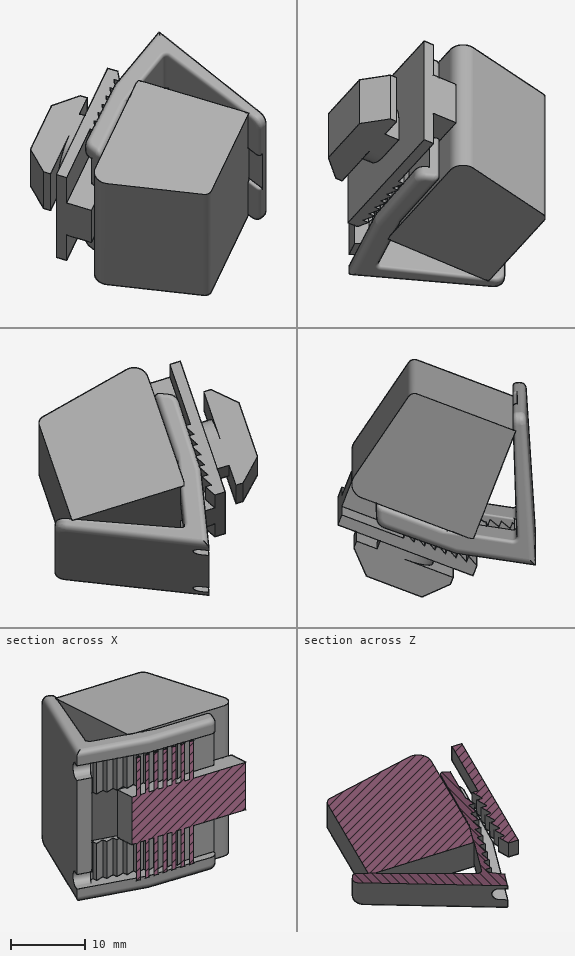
import cadquery as cq
import math


body_height = 22.0

head_depth = 4.03
head_land = 1.0
head_length = 13.93
head_face_length = 8.0
neck_depth = 2.15
plate_thickness = 1.48
web_depth = 3.55
block_depth = 16.0

plate_top = 8.98
plate_bottom = -10.5
plate_width = 18.02
web_width = 7.0

block_top = 7.05
block_front_bottom = -11.53
block_back_bottom = -7.95
block_front_radius = 2.0
block_back_radius = 0.98

plate_front = head_depth + neck_depth
plate_back = plate_front + plate_thickness
block_front = plate_back + web_depth
block_back = block_front + block_depth

tooth_pitch = 1.5
tooth_height = 0.83
rail_tooth_count = 7
lever_tooth_count = 9

apex = (10.85, 16.2)
outer_knee = (8.5, 5.57)
lip_corner = (8.3, -5.65)
lip_end = (11.15, -6.95)
inner_knee = (block_front, 4.0)
inner_corner = (13.1, 12.65)
tip_inner = (29.17, 5.87)
tip_outer = (29.9, 7.47)

lip_corner_radius = 1.5
tip_corner_radius = 1.5
outer_edge_radius = 0.8
inner_edge_radius = 0.5

window_width = 7.23
step_outer = (10.3, 14.05)
step_inner = (13.4, 12.05)
first_tip = (11.55, 12.27)
relief_floor = 9.65
groove_width = 2.13
groove_depth = 2.1
slot_depth = 0.6
slot_edge_radius = 0.27

outside = 44.45
overrun = 4.45


def unit(start, end):
    """Unit vector from one point to another."""
    length = math.dist(start, end)
    return ((end[0] - start[0]) / length, (end[1] - start[1]) / length)


def along(point, direction, distance):
    """Point moved a distance in a direction."""
    return (point[0] + distance * direction[0], point[1] + distance * direction[1])


def prism(points, width):
    """Polygon in XY extruded symmetrically about Z = 0."""
    return cq.Workplane("XY").polyline(points).close().extrude(width / 2, both=True)


def slab(x_min, x_max, y_min, y_max, width):
    """Box given by its X and Y limits, symmetric about Z = 0."""
    return prism([(x_min, y_min), (x_max, y_min), (x_max, y_max), (x_min, y_max)], width)


leg_down = unit(apex, outer_knee)
leg_inward = (-leg_down[1], leg_down[0])
handle_out = unit(inner_corner, tip_inner)
handle_outward = (-handle_out[1], handle_out[0])


def make_head():
    """Hammer head whose neck has two opposite rounded corners, so it can turn in a slot."""
    half_length = head_length / 2
    half_face = head_face_length / 2
    chamfer_end = head_depth - head_land
    head = prism(
        [
            (0, -half_face),
            (chamfer_end, -half_length),
            (head_depth, -half_length),
            (head_depth, half_length),
            (chamfer_end, half_length),
            (0, half_face),
        ],
        head_face_length,
    )
    neck = (
        cq.Workplane("YZ", origin=(head_depth, 0, 0))
        .moveTo(-half_face, -half_face)
        .lineTo(0, -half_face)
        .radiusArc((half_face, 0), -half_face)
        .lineTo(half_face, half_face)
        .lineTo(0, half_face)
        .radiusArc((-half_face, 0), -half_face)
        .close()
        .extrude(neck_depth)
    )
    return head.union(neck)


def make_rail():
    """Toothed plate with the web that joins it to the block."""
    rail = slab(plate_front, plate_back, plate_bottom, plate_top, plate_width)
    for index in range(rail_tooth_count):
        top = plate_top - index * tooth_pitch
        bottom = top - tooth_pitch
        tooth = prism(
            [(plate_back, top), (plate_back + tooth_height, bottom), (plate_back, bottom)],
            plate_width,
        )
        rail = rail.union(tooth)
    return rail.union(slab(plate_back, block_front, plate_bottom, plate_top, web_width))


def make_block():
    """Block with a sloping underside and rounded lower edges."""
    block = prism(
        [
            (block_front, block_top),
            (block_front, block_front_bottom),
            (block_back, block_back_bottom),
            (block_back, block_top),
        ],
        body_height,
    )
    block = block.edges("|Z").edges("<Y").fillet(block_front_radius)
    return block.edges("|Z").edges(">X").edges("<Y").fillet(block_back_radius)


def middle(start, end):
    """Point halfway between two points."""
    return ((start[0] + end[0]) / 2, (start[1] + end[1]) / 2)


def round_at(body, points, radius):
    """Round the edges whose midpoints lie nearest to the given points."""
    edges = [body.edges(cq.selectors.NearestToPointSelector(point)).val() for point in points]
    return body.newObject(edges).fillet(radius)


def both_sides(spans, offset):
    """Midpoints of outline spans, at Z = offset and Z = -offset."""
    return [(*middle(start, end), z) for start, end in spans for z in (offset, -offset)]


def make_lever_blank():
    """Bent lever with all its edges rounded, before the cut-outs."""
    outline = [apex, outer_knee, lip_corner, lip_end, inner_knee, inner_corner, tip_inner, tip_outer]
    outer_spans = [(apex, tip_outer), (apex, outer_knee), (outer_knee, lip_corner)]
    inner_spans = [(inner_corner, tip_inner), (inner_corner, inner_knee), (inner_knee, lip_end)]
    half_height = body_height / 2

    blank = prism(outline, body_height)
    blank = round_at(blank, [(*lip_corner, 0)], lip_corner_radius)
    blank = round_at(blank, [(*inner_corner, 0)], inner_edge_radius)
    blank = round_at(blank, both_sides([(tip_inner, tip_outer)], half_height), tip_corner_radius)
    blank = round_at(blank, [(*lip_end, 0)], inner_edge_radius)
    blank = round_at(blank, both_sides(outer_spans, half_height), outer_edge_radius)
    return round_at(blank, both_sides(inner_spans, half_height), inner_edge_radius)


def make_below_step(width):
    """Everything in and around the leg below the slanted step, over a given width."""
    down_step = unit(step_outer, step_inner)
    return prism(
        [
            along(step_outer, down_step, -overrun),
            step_inner,
            (step_inner[0], -outside),
            (-outside, -outside),
        ],
        width,
    )


def make_tooth_relief():
    """Clearance for the rail plate, with the lever's own ratchet teeth along its inner side."""
    tips = [along(first_tip, leg_down, index * tooth_pitch) for index in range(-1, lever_tooth_count)]
    points = [along(tips[0], leg_inward, -outside)]
    for tip, next_tip in zip(tips, tips[1:]):
        points += [tip, (next_tip[0] + tooth_height, next_tip[1])]
    last_tip = tips[-1]
    points += [last_tip, (relief_floor, last_tip[1] - tooth_pitch)]
    points += [(relief_floor, -outside), (-outside, -outside)]
    return prism(points, plate_width).intersect(make_below_step(plate_width))


def make_groove(side):
    """Round-bottomed groove along the leg, from the apex down to the step."""
    half = groove_width / 2
    frame = cq.Plane(
        origin=(*along(apex, leg_down, -overrun), side * (plate_width - groove_width) / 2),
        xDir=(*leg_inward, 0),
        normal=(*leg_down, 0),
    )
    groove = (
        cq.Workplane(frame)
        .moveTo(-overrun, -half)
        .lineTo(groove_depth - half, -half)
        .radiusArc((groove_depth, 0), -half)
        .radiusArc((groove_depth - half, half), -half)
        .lineTo(-overrun, half)
        .close()
        .extrude(outside)
    )
    return groove.cut(make_below_step(plate_width))


def make_handle_slot():
    """Shallow slot along the inner side of the handle, in line with the window."""
    floor_start = along(inner_corner, handle_outward, slot_depth)
    open_start = along(inner_corner, handle_outward, -slot_depth)
    return prism(
        [
            floor_start,
            along(floor_start, handle_out, outside),
            along(open_start, handle_out, outside),
            open_start,
        ],
        window_width,
    )


def make_lever():
    lever = make_lever_blank()
    lever = lever.cut(make_below_step(window_width))
    lever = lever.cut(make_tooth_relief())
    for side in (1, -1):
        lever = lever.cut(make_groove(side))
    lever = lever.cut(make_handle_slot())
    return round_at(lever, both_sides([(inner_corner, tip_inner)], window_width / 2), slot_edge_radius)


lever = make_lever()
housing = make_head().union(make_rail()).union(make_block()).cut(lever)
result = cq.Compound.makeCompound([housing.val(), lever.val()])